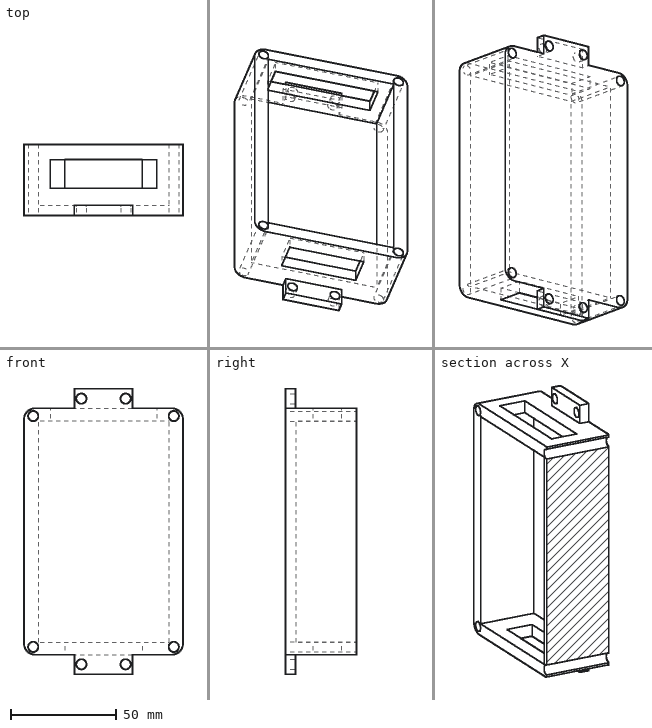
import cadquery as cq

width = 75.5
depth = 33.8
total_height = 135.4
tab_length = 9.2
body_height = total_height - 2 * tab_length
corner_radius = 5.5

side_wall = 6.8
end_wall = 6.0
floor_thickness = 4.9

tab_width = 27.6
tab_thickness = 4.9
tab_hole_spacing = 21.0
tab_hole_inset = 4.7

hole_diameter = 4.7
corner_hole_inset_x = 4.5
corner_hole_inset_z = 3.8

top_window_width = 50.6
bottom_window_width = 36.5
window_depth = 13.5
window_back_margin = 7.3

front_y = -depth / 2
back_y = depth / 2


def block(size_x, size_z, start_y, size_y):
    """Box centred on X and Z that runs from start_y toward +Y."""
    return cq.Workplane("XY").box(size_x, size_y, size_z).translate((0, start_y + size_y / 2, 0))


def holes(spacing_x, spacing_z):
    """Four holes in a rectangular pattern, running along Y through the whole depth."""
    return (
        cq.Workplane("XZ", origin=(0, back_y, 0))
        .rect(spacing_x, spacing_z, forConstruction=True)
        .vertices()
        .circle(hole_diameter / 2)
        .extrude(depth)
    )


def window(opening_width, end):
    """Cutter for the end wall at the top (end = 1) or the bottom (end = -1)."""
    wall_z = end * (body_height - end_wall) / 2
    cutter = cq.Workplane("XY").box(opening_width, window_depth, end_wall)
    return cutter.translate((0, back_y - window_back_margin - window_depth / 2, wall_z))


body = block(width, body_height, front_y, depth).edges("|Y").fillet(corner_radius)
cavity = block(
    width - 2 * side_wall,
    body_height - 2 * end_wall,
    front_y + floor_thickness,
    depth - floor_thickness,
)

tabs = block(tab_width, total_height, front_y, tab_thickness)
result = body.union(tabs).cut(cavity)

result = result.cut(window(top_window_width, 1)).cut(window(bottom_window_width, -1))

result = result.cut(holes(width - 2 * corner_hole_inset_x, body_height - 2 * corner_hole_inset_z))
result = result.cut(holes(tab_hole_spacing, total_height - 2 * tab_hole_inset))